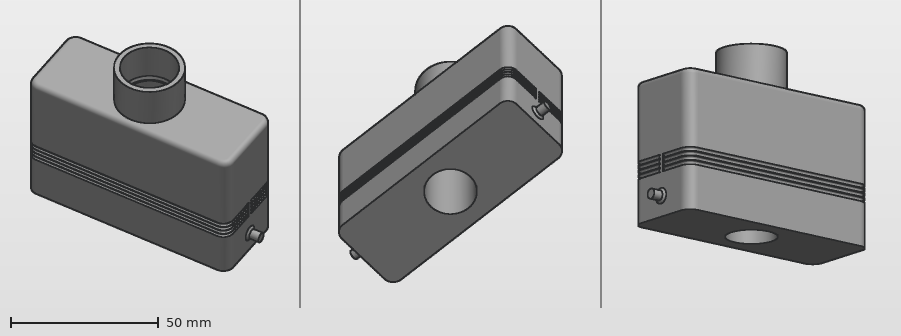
import cadquery as cq

body_length = 79.65
body_width = 29.4
body_height = 50.0
corner_radius = 4.0
top_edge_radius = 1.95

total_height = 64.5
tower_radius = 12.0
bore_radius = 10.0
seat_cone_height = 1.3
seat_radius = 9.6
passage_radius = 8.9

groove_count = 4
groove_radius = 0.66
groove_pitch = 1.6
lowest_groove_height = 16.5
plain_strip_width = 1.7

total_length = 88.5
pin_radius = 1.8
pin_height = 7.35
collar_radius = 2.7
collar_length = 0.8


def make_body():
    block = cq.Workplane("XY").box(
        body_length, body_width, body_height, centered=(True, True, False)
    )
    rounded = block.edges("|Z").fillet(corner_radius)
    return rounded.faces(">Z").edges().fillet(top_edge_radius)


def make_groove_ring(height):
    """Round bar that follows the body walls, to be cut out as one groove."""
    half_length = body_length / 2
    half_width = body_width / 2
    straight_x = half_length - corner_radius
    straight_y = half_width - corner_radius
    path = (
        cq.Workplane("XY", origin=(0, 0, height))
        .moveTo(0, -half_width)
        .lineTo(straight_x, -half_width)
        .radiusArc((half_length, -straight_y), -corner_radius)
        .lineTo(half_length, straight_y)
        .radiusArc((straight_x, half_width), -corner_radius)
        .lineTo(-straight_x, half_width)
        .radiusArc((-half_length, straight_y), -corner_radius)
        .lineTo(-half_length, -straight_y)
        .radiusArc((-straight_x, -half_width), -corner_radius)
        .close()
    )
    profile = cq.Workplane("YZ", origin=(0, -half_width, height)).circle(groove_radius)
    return profile.sweep(path)


def cut_grooves(part):
    plain_strip = cq.Workplane("XY").box(total_length, plain_strip_width, total_height)
    plain_strip = plain_strip.translate((0, 0, total_height / 2))
    for index in range(groove_count):
        ring = make_groove_ring(lowest_groove_height + index * groove_pitch)
        part = part.cut(ring.cut(plain_strip))
    return part


def make_tower():
    tower_height = total_height - body_height
    return (
        cq.Workplane("XY", origin=(0, 0, body_height - top_edge_radius))
        .circle(tower_radius)
        .extrude(tower_height + top_edge_radius)
    )


def make_cable_passage():
    """Bore of the tower with a conical seat, and the narrower hole below it."""
    return (
        cq.Workplane("XZ")
        .lineTo(passage_radius, 0)
        .lineTo(passage_radius, body_height)
        .lineTo(seat_radius, body_height)
        .lineTo(bore_radius, body_height + seat_cone_height)
        .lineTo(bore_radius, total_height)
        .lineTo(0, total_height)
        .close()
        .revolve(360, (0, 0), (0, 1))
    )


def make_pin(side):
    """Pin with a conical collar on the end face at side * X."""
    root = side * (body_length / 2 - collar_length)
    wall = side * body_length / 2
    collar_end = wall + side * collar_length
    return (
        cq.Workplane("XY")
        .moveTo(root, 0)
        .lineTo(root, collar_radius)
        .lineTo(wall, collar_radius)
        .lineTo(collar_end, pin_radius)
        .lineTo(side * total_length / 2, pin_radius)
        .lineTo(side * total_length / 2, 0)
        .close()
        .revolve(360, (0, 0), (1, 0))
        .translate((0, 0, pin_height))
    )


result = cut_grooves(make_body()).union(make_tower()).cut(make_cable_passage())
for end in (-1, 1):
    result = result.union(make_pin(end))